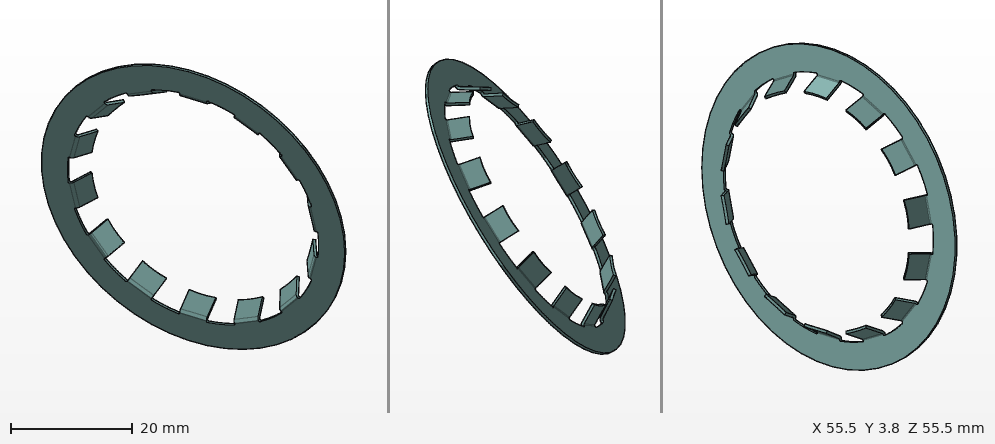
import cadquery as cq
import math

outer_radius = 27.75
hole_radius = 23.0
thickness = 0.5

tab_count = 14
tab_width = 4.9
root_fillet = 0.2
bend_angle = 60.0
inner_bend_radius = 0.2
overall_depth = 3.8
tip_arc_radius = 18.5

half_width = tab_width / 2
outer_bend_radius = inner_bend_radius + thickness
bend_sin = math.sin(math.radians(bend_angle))
bend_cos = math.cos(math.radians(bend_angle))

fillet_x = half_width + root_fillet
bend_start = math.sqrt((hole_radius - root_fillet) ** 2 - fillet_x ** 2)

bend_depth = thickness + inner_bend_radius * (1 - bend_cos)
leg_length = (overall_depth - bend_depth) / bend_sin


def make_ring():
    ring = cq.Workplane("XZ").circle(outer_radius).circle(hole_radius)
    return ring.extrude(-thickness)


def make_root():
    """Flat root of the top tab, flared into the ring by its two fillets."""
    root_top = (hole_radius + outer_radius) / 2
    flare_scale = hole_radius / (hole_radius - root_fillet)
    flare_x = fillet_x * flare_scale
    flare_z = bend_start * flare_scale

    flare_angle = math.atan2(bend_start, fillet_x)
    middle_angle = (flare_angle + math.pi) / 2
    middle_x = fillet_x + root_fillet * math.cos(middle_angle)
    middle_z = bend_start + root_fillet * math.sin(middle_angle)

    outline = (
        cq.Workplane("XZ")
        .moveTo(-half_width, bend_start)
        .lineTo(half_width, bend_start)
        .threePointArc((middle_x, middle_z), (flare_x, flare_z))
        .lineTo(flare_x, root_top)
        .lineTo(-flare_x, root_top)
        .lineTo(-flare_x, flare_z)
        .threePointArc((-middle_x, middle_z), (-half_width, bend_start))
        .close()
    )
    return outline.extrude(-thickness)


def bend_point(radius, angle):
    """(Y, Z) of a point on the bend, turned by an angle in degrees from the bend start."""
    turn = math.radians(angle)
    return (outer_bend_radius - radius * math.cos(turn), bend_start - radius * math.sin(turn))


def along_leg(point):
    """(Y, Z) of a point moved from the bend end to the tip of the leg."""
    return (point[0] + leg_length * bend_sin, point[1] - leg_length * bend_cos)


def make_bent_leg():
    """Bend and straight leg of the top tab, its tip trimmed to a concave arc."""
    outer_end = bend_point(outer_bend_radius, bend_angle)
    inner_end = bend_point(inner_bend_radius, bend_angle)
    outer_tip = along_leg(outer_end)
    leg = (
        cq.Workplane("YZ")
        .moveTo(0, bend_start)
        .threePointArc(bend_point(outer_bend_radius, bend_angle / 2), outer_end)
        .lineTo(*outer_tip)
        .lineTo(*along_leg(inner_end))
        .lineTo(*inner_end)
        .threePointArc(bend_point(inner_bend_radius, bend_angle / 2), (thickness, bend_start))
        .close()
        .extrude(half_width, both=True)
    )

    tip_plane = cq.Plane(
        origin=(0, outer_tip[0], outer_tip[1]),
        xDir=(1, 0, 0),
        normal=(0, bend_cos, bend_sin),
    )
    corner_to_axis = math.sqrt(tip_arc_radius ** 2 - half_width ** 2)
    trim_reach = 2 * thickness
    trim = (
        cq.Workplane(tip_plane)
        .center(0, corner_to_axis)
        .circle(tip_arc_radius)
        .extrude(trim_reach, both=True)
    )
    return leg.cut(trim)


tab_pitch = 360 / tab_count
tab = make_root().union(make_bent_leg())
result = make_ring()
for index in range(tab_count):
    result = result.union(tab.rotate((0, 0, 0), (0, 1, 0), index * tab_pitch))